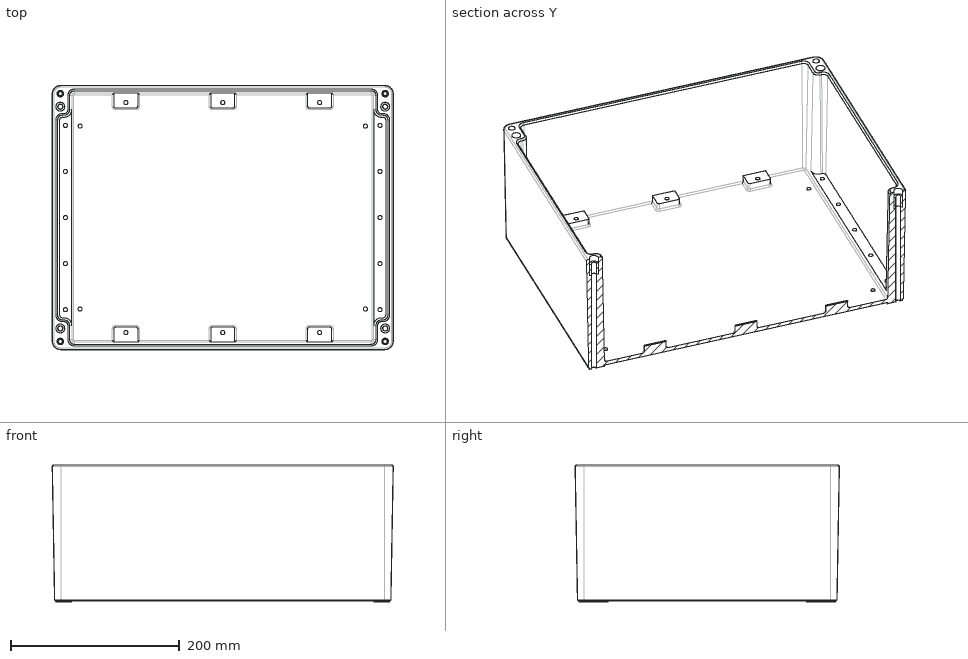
import cadquery as cq
import math

LENGTH = 404.0
WIDTH = 313.0
HEIGHT = 162.5
FOOT_HEIGHT = 1.5
DRAFT = 1.0
CORNER_RADIUS = 10.5
RIM_FILLET = 2.0
BASE_CHAMFER = 1.2
WALL = 6.5
FLOOR = 5.5
FLOOR_FILLET = 2.0
LIP = 2.0

POST_X = 181.5
POST_Y = 121.0
POST_RADIUS = 6.5
CAVITY_RADIUS = 5.5

FOOT_X = 179.0
FOOT_Y = 117.5
FOOT_INSET = 1.5

POST_HOLES_X = 192.3
MOUNT_HOLE_Y = 146.5
MOUNT_HOLE_TOP = 7.5
MOUNT_HOLE_BOTTOM = 5.0
INSERT_Y = 131.3
INSERT_DIAMETER = 10.5
INSERT_BORE = 5.5
INSERT_RECESS = 8.0
INSERT_LENGTH = 16.0

LEDGE_HEIGHT = 9.5
LEDGE_HOLE_X = 186.2
LEDGE_HOLE_PITCH = 54.5
LEDGE_HOLE_COUNT = 5

PAD_PITCH = 114.7
PAD_COUNT = 3
PAD_WIDTH = 28.3
PAD_Y = 129.5
PAD_HEIGHT = 9.5
PAD_RADIUS = 2.0
PAD_HOLE_Y = 136.0

SCREW_HOLE_DIAMETER = 5.0
SCREW_HOLE_DEPTH = 4.0
FLOOR_HOLE_X = 169.0
FLOOR_HOLE_Y = 108.3


def centred_places(count, pitch):
    return [(step - (count - 1) / 2) * pitch for step in range(count)]


FLOOR_Z = FOOT_HEIGHT + FLOOR
LEDGE_Z = FLOOR_Z + LEDGE_HEIGHT
INSERT_TOP_Z = HEIGHT - INSERT_RECESS
INSERT_BOTTOM_Z = INSERT_TOP_Z - INSERT_LENGTH
BODY_HEIGHT = HEIGHT - FOOT_HEIGHT
BASE_SHRINK = BODY_HEIGHT * math.tan(math.radians(DRAFT))
CAVITY_X = LENGTH / 2 - WALL
CAVITY_Y = WIDTH / 2 - WALL
PAD_PLACES = centred_places(PAD_COUNT, PAD_PITCH)
LEDGE_HOLE_PLACES = centred_places(LEDGE_HOLE_COUNT, LEDGE_HOLE_PITCH)
CORNERS = [(sx, sy) for sx in (-1, 1) for sy in (-1, 1)]


def rounded_box(length, width, height, radius, bottom_z):
    box = cq.Workplane("XY").box(length, width, height, centered=(True, True, False))
    return box.edges("|Z").fillet(radius).translate((0, 0, bottom_z))


def cylinder(x, y, bottom_z, top_z, diameter):
    base = cq.Workplane("XY", origin=(x, y, bottom_z))
    return base.circle(diameter / 2).extrude(top_z - bottom_z)


def tapered(outline, top_z, depth):
    """Solid below a flat outline, with walls drawn in by the draft."""
    solid = cq.Workplane("XY").add(outline).toPending().extrude(-depth, taper=DRAFT)
    return solid.translate((0, 0, top_z))


def outer_shell():
    outline = rounded_box(LENGTH, WIDTH, 4, CORNER_RADIUS, 0).faces("<Z").wires().val()
    shell = tapered(outline, HEIGHT, BODY_HEIGHT)
    shell = shell.faces(">Z").edges().fillet(RIM_FILLET)
    return shell.faces("<Z").edges().chamfer(BASE_CHAMFER)


def add_feet(body):
    base_length = LENGTH - 2 * (BASE_SHRINK + FOOT_INSET)
    base_width = WIDTH - 2 * (BASE_SHRINK + FOOT_INSET)
    feet = rounded_box(base_length, base_width, FOOT_HEIGHT, CORNER_RADIUS - BASE_SHRINK, 0)
    feet = feet.cut(cq.Workplane("XY").rect(2 * FOOT_X, WIDTH).extrude(FOOT_HEIGHT))
    feet = feet.cut(cq.Workplane("XY").rect(LENGTH, 2 * FOOT_Y).extrude(FOOT_HEIGHT))
    return body.union(feet)


def fillet_upright_edge(block, x, y, radius):
    gap = 0.5
    near = cq.selectors.BoxSelector((x - gap, y - gap, -4), (x + gap, y + gap, 8))
    return block.edges("|Z").edges(near).fillet(radius)


def mouth_outline():
    """Rectangle with a step at each corner, leaving room for the posts."""
    block = cq.Workplane("XY").rect(2 * CAVITY_X, 2 * POST_Y).extrude(4)
    block = block.union(cq.Workplane("XY").rect(2 * POST_X, 2 * CAVITY_Y).extrude(4))
    for sx, sy in CORNERS:
        block = fillet_upright_edge(block, sx * POST_X, sy * POST_Y, POST_RADIUS)
        block = fillet_upright_edge(block, sx * CAVITY_X, sy * POST_Y, CAVITY_RADIUS)
        block = fillet_upright_edge(block, sx * POST_X, sy * CAVITY_Y, CAVITY_RADIUS)
    return block.faces("<Z").wires().val()


def pad(x, side):
    """Block standing on the floor and reaching into a long wall."""
    length = CAVITY_Y - PAD_Y
    block = rounded_box(PAD_WIDTH, 2 * length, PAD_HEIGHT, PAD_RADIUS, FLOOR_Z)
    return block.translate((x, side * CAVITY_Y, 0))


def cavity():
    """Space inside the housing: it ends on the ledges near the end walls, and goes around the pads."""
    mouth = mouth_outline()
    middle = rounded_box(2 * POST_X, 2 * CAVITY_Y, 4, CAVITY_RADIUS, 0).faces("<Z").wires().val()
    room = tapered(mouth, HEIGHT, HEIGHT - LEDGE_Z).union(tapered(middle, HEIGHT, HEIGHT - FLOOR_Z))
    for side in (-1, 1):
        for x in PAD_PLACES:
            room = room.cut(pad(x, side))
    room = room.faces("<Z").edges().fillet(FLOOR_FILLET)
    lip = cq.Workplane("XY").add(mouth.offset2D(LIP)[0]).toPending().extrude(-LIP, taper=45)
    return room.union(lip.translate((0, 0, HEIGHT)))


def screw_hole(x, y, top_z):
    return cylinder(x, y, top_z - SCREW_HOLE_DEPTH, top_z, SCREW_HOLE_DIAMETER)


def cut_screw_holes(body):
    for sx, sy in CORNERS:
        body = body.cut(screw_hole(sx * FLOOR_HOLE_X, sy * FLOOR_HOLE_Y, FLOOR_Z))
    for side in (-1, 1):
        for y in LEDGE_HOLE_PLACES:
            body = body.cut(screw_hole(side * LEDGE_HOLE_X, y, LEDGE_Z))
        for x in PAD_PLACES:
            body = body.cut(screw_hole(x, side * PAD_HOLE_Y, FLOOR_Z + PAD_HEIGHT))
    return body


def mount_hole(x, y):
    """Through hole that narrows from the rim to the foot."""
    top_radius = MOUNT_HOLE_TOP / 2
    bottom_radius = MOUNT_HOLE_BOTTOM / 2
    return cq.Workplane("XY").add(
        cq.Solid.makeCone(bottom_radius, top_radius, HEIGHT, pnt=cq.Vector(x, y, 0))
    )


def cut_post_holes(body):
    for sx, sy in CORNERS:
        x = sx * POST_HOLES_X
        body = body.cut(mount_hole(x, sy * MOUNT_HOLE_Y))
        body = body.cut(cylinder(x, sy * INSERT_Y, 0, HEIGHT, INSERT_BORE))
        body = body.cut(cylinder(x, sy * INSERT_Y, INSERT_BOTTOM_Z, HEIGHT, INSERT_DIAMETER))
    return body


def make_housing():
    body = add_feet(outer_shell()).cut(cavity())
    body = cut_screw_holes(body)
    return cut_post_holes(body)


def make_insert(sx, sy):
    """Tubular insert seated in a post."""
    x, y = sx * POST_HOLES_X, sy * INSERT_Y
    sleeve = cylinder(x, y, INSERT_BOTTOM_Z, INSERT_TOP_Z, INSERT_DIAMETER)
    return sleeve.cut(cylinder(x, y, INSERT_BOTTOM_Z, INSERT_TOP_Z, INSERT_BORE))


housing = make_housing()
inserts = [make_insert(sx, sy) for sx, sy in CORNERS]

result = cq.Compound.makeCompound([housing.val(), *[insert.val() for insert in inserts]])